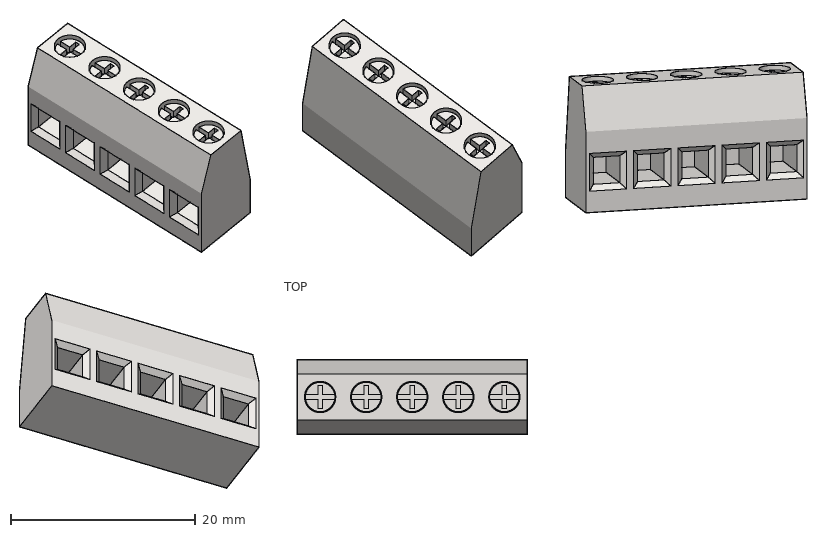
import cadquery as cq

pole_count = 5
pole_pitch = 5.0
length = pole_count * pole_pitch
depth = 8.1
height = 13.8
top_width = 5.0
front_shoulder_height = 9.0
back_shoulder_height = 5.0

entry_mouth = 4.2
entry_pocket = 3.0
entry_center_height = 4.5
entry_taper_depth = 0.6
entry_pocket_depth = 6.0

well_diameter = 3.4
head_diameter = 3.2
head_sink = 0.5
gap_depth = 1.5
slot_width = 0.5
short_slot_length = 2.5
slot_depth = 1.0

front_y = -depth / 2
head_z = height - head_sink
pole_positions = [(i - (pole_count - 1) / 2) * pole_pitch for i in range(pole_count)]


def make_housing():
    outline = [
        (front_y, 0),
        (depth / 2, 0),
        (depth / 2, back_shoulder_height),
        (top_width / 2, height),
        (-top_width / 2, height),
        (front_y, front_shoulder_height),
    ]
    return cq.Workplane("YZ").polyline(outline).close().extrude(length / 2, both=True)


def make_wire_entry(x):
    """Square funnel and the straight pocket behind it."""
    mouth_plane = cq.Workplane("XZ", origin=(x, front_y, entry_center_height))
    funnel = (
        mouth_plane.rect(entry_mouth, entry_mouth)
        .workplane(offset=-entry_taper_depth)
        .rect(entry_pocket, entry_pocket)
        .loft(ruled=True)
    )
    pocket = mouth_plane.rect(entry_pocket, entry_pocket).extrude(-entry_pocket_depth)
    return funnel.union(pocket)


def make_screw_cut(x):
    """Well above the screw head, the gap around the head and its cross recess."""
    head_plane = cq.Workplane("XY", origin=(x, 0, head_z))
    well = head_plane.circle(well_diameter / 2).extrude(head_sink)
    gap = head_plane.circle(well_diameter / 2).circle(head_diameter / 2).extrude(-gap_depth)
    long_slot = head_plane.rect(head_diameter, slot_width).extrude(-slot_depth)
    short_slot = head_plane.rect(slot_width, short_slot_length).extrude(-slot_depth)
    head_disc = head_plane.circle(head_diameter / 2).extrude(-slot_depth)
    cross = long_slot.union(short_slot).intersect(head_disc)
    return well.union(gap).union(cross)


result = make_housing()
for pole_x in pole_positions:
    result = result.cut(make_wire_entry(pole_x)).cut(make_screw_cut(pole_x))